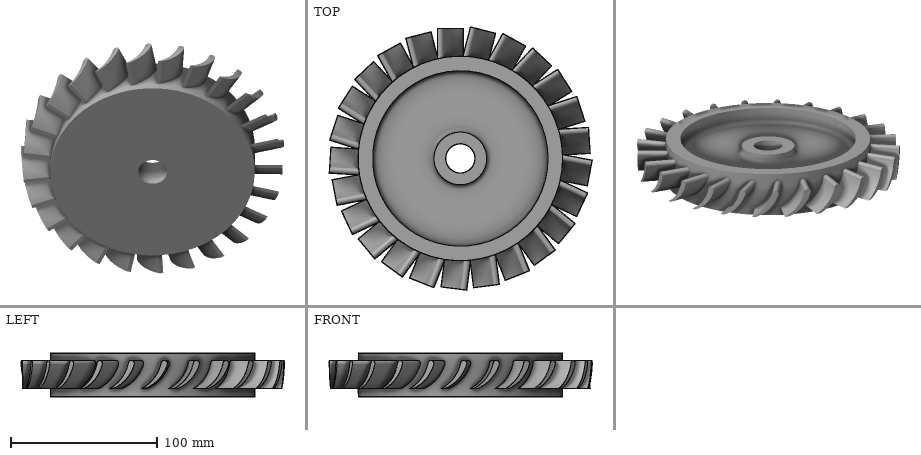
import cadquery as cq
import math

rim_radius = 70.0
rim_wall = 10.0
height = 30.0
recess_depth = 11.0
recess_radius = rim_radius - rim_wall
hub_radius = 18.0
hub_drop = 5.0
bore_radius = 10.0
web_fillet = 3.0

blade_bottom = 5.5
blade_top = 25.0
nose_x = 13.5
nose_half_width = 2.2
bulge_x = nose_x + nose_half_width
hollow_x = nose_x - nose_half_width
bulge_nose_rise = 2.7
hollow_nose_rise = 2.2
tip_x = -2.2
heel_x = 0.4
face_radius = 26.1

blade_count = 25
blade_pitch = 360 / blade_count
tip_radius = 90.3
blade_end = math.sqrt(tip_radius**2 - bulge_x**2)
blade_root = 65.0


def build_disc():
    web_top = height - recess_depth
    hub_top = height - hub_drop
    profile = (
        cq.Workplane("XZ")
        .moveTo(bore_radius, 0)
        .lineTo(rim_radius, 0)
        .lineTo(rim_radius, height)
        .lineTo(recess_radius, height)
        .lineTo(recess_radius, web_top + web_fillet)
        .radiusArc((recess_radius - web_fillet, web_top), web_fillet)
        .lineTo(hub_radius + web_fillet, web_top)
        .radiusArc((hub_radius, web_top + web_fillet), web_fillet)
        .lineTo(hub_radius, hub_top)
        .lineTo(bore_radius, hub_top)
        .close()
    )
    return profile.revolve(360, (0, 0, 0), (0, 1, 0))


def build_blade():
    """One blade pointing along +Y, ending in a flat face."""
    section_plane = cq.Plane(origin=(0, blade_root, 0), xDir=(-1, 0, 0), normal=(0, 1, 0))
    return (
        cq.Workplane(section_plane)
        .moveTo(tip_x, blade_bottom)
        .lineTo(heel_x, blade_bottom)
        .radiusArc((bulge_x, blade_top - bulge_nose_rise), -face_radius)
        .threePointArc((nose_x, blade_top), (hollow_x, blade_top - hollow_nose_rise))
        .radiusArc((tip_x, blade_bottom), face_radius)
        .close()
        .extrude(blade_end - blade_root)
    )


result = build_disc()
blade = build_blade()
for index in range(blade_count):
    result = result.union(blade.rotate((0, 0, 0), (0, 0, 1), index * blade_pitch))